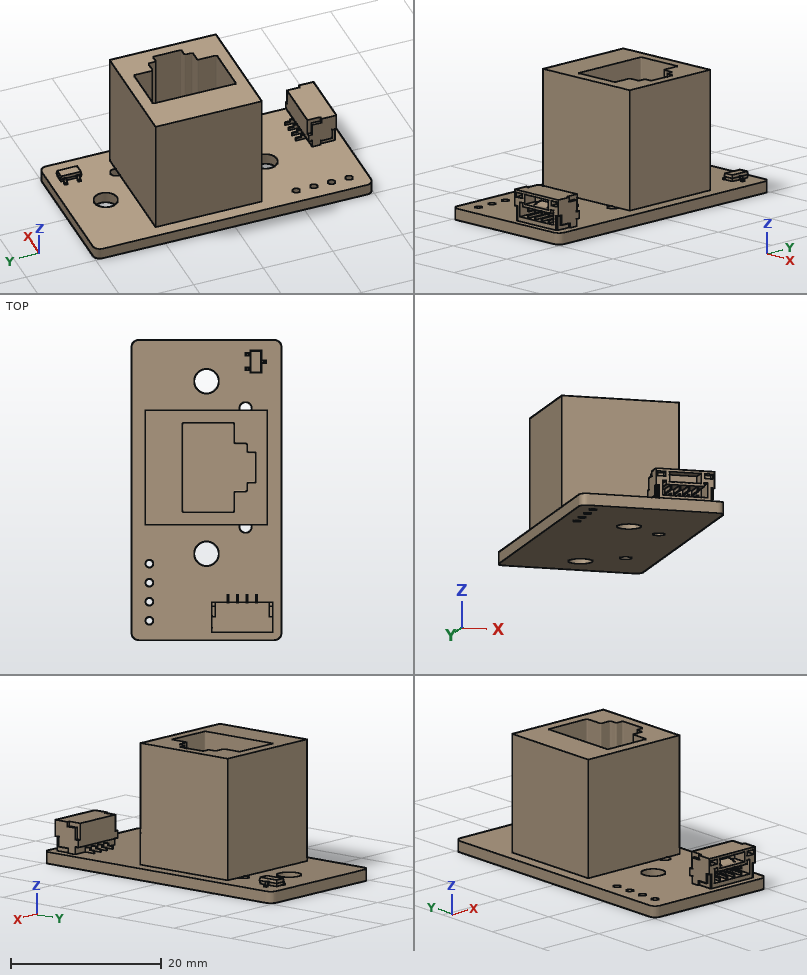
import cadquery as cq
import math

BOARD_WIDTH = 20.0
BOARD_LENGTH = 40.0
BOARD_THICKNESS = 1.6
BOARD_CORNER_RADIUS = 1.0
BOARD_CORNER_FACETS = 8
MOUNT_HOLE_DIAMETER = 3.25
MOUNT_HOLE_SPACING = 22.95
PEG_HOLE_DIAMETER = 1.6
PEG_HOLE_X = 5.2
PEG_HOLE_SPACING = 15.75
HEADER_HOLE_DIAMETER = 1.0
HEADER_HOLE_COUNT = 4
HEADER_HOLE_X = -7.6
HEADER_FIRST_Y = -17.4
HEADER_ROW_LENGTH = 7.6

JACK_LENGTH_X = 16.25
JACK_WIDTH_Y = 15.3
JACK_TOP_Z = 18.15
JACK_CENTER_X = -0.05
JACK_CENTER_Y = 3.0
CAVITY_FLOOR_THICKNESS = 1.6
CAVITY_FILLET = 0.2
CAVITY_LEFT_X = -3.2
CAVITY_STEPS = [(3.7, 5.95), (5.4, 3.2), (6.55, 2.05)]

SOCKET_WIDTH = 8.1
SOCKET_DEPTH = 4.0
SOCKET_HEIGHT = 4.25
SOCKET_CENTER_X = 4.75
SOCKET_FRONT_Y = -18.95
RELIEF_ARM = 0.65
RELIEF_LENGTH = 2.25
UPPER_RELIEF_INSET = 0.45
UPPER_RELIEF_LENGTH = 1.9
UPPER_RELIEF_BACK_ARM = 0.5
LOWER_RELIEF_INSET = 0.25
LOWER_RELIEF_HEIGHT = 2.0
FRONT_REBATE_INSET = 0.45
FRONT_REBATE_DEPTH = 0.1
TAIL_RECESS_DEPTH = 0.5
TAIL_RECESS_HEIGHT = 1.0
MOUTH_WIDTH = 6.25
MOUTH_ROOF_WIDTH = 5.25
MOUTH_FLOOR_Z = 0.65
MOUTH_ROOF_Z = 2.1
MOUTH_SIDE_ROOF_Z = 2.65
MOUTH_DEPTH = 3.0
TOP_RIM = 0.35
WINDOW_WIDTH = 4.35
WINDOW_HEIGHT = 1.35
WINDOW_DEPTH = 2.0
RAMP_WIDTH = 2.4
RAMP_HEIGHT = 0.35
RAMP_START = 0.8
POCKET_WIDTH = 1.1
POCKET_HEIGHT = 0.65
POCKET_DEPTH = 1.0
POCKET_SIDE_WALL = 0.25

CONTACT_COUNT = 4
CONTACT_ROW_LENGTH = 3.75
CONTACT_THICKNESS = 0.2
PRONG_TIP_SETBACK = 0.35
LOWER_PRONG_TOP_Z = 1.0
UPPER_PRONG_BOTTOM_Z = 1.5
TAIL_REACH = 1.0
TAIL_STEP_REACH = 0.25
TAIL_ROOT_HEIGHT = 0.65
TAIL_HEIGHT = 0.35
TAIL_CHAMFER = 0.1

TRANSISTOR_X = 6.55
TRANSISTOR_Y = 17.1
TRANSISTOR_WIDTH = 1.5
TRANSISTOR_LENGTH = 3.0
TRANSISTOR_TOP = 1.0
TRANSISTOR_WAIST = 0.55
TRANSISTOR_STANDOFF = 0.1
TRANSISTOR_DRAFT = 10.0
LEAD_SPAN = 2.8
LEAD_PITCH = 1.9
LEAD_WIDTH = 0.4
LEAD_THICKNESS = 0.15
LEAD_SHOULDER = 0.2
LEAD_FOOT = 0.2


def box(x_min, x_max, y_min, y_max, z_min, z_max):
    """Axis-aligned box between the given limits."""
    size = (x_max - x_min, y_max - y_min, z_max - z_min)
    return cq.Workplane("XY").box(*size, centered=False).translate((x_min, y_min, z_min))


def profile_along_x(points, x_min, x_max):
    """Extrude a closed (y, z) outline from x_min to x_max."""
    return cq.Workplane("YZ", origin=(x_min, 0, 0)).polyline(points).close().extrude(x_max - x_min)


def evenly_spaced(first, length, count):
    """Positions of count items spread over the given length."""
    return [first + length * i / (count - 1) for i in range(count)]


def board_outline():
    """Rectangle whose corners are rounded by short flat facets."""
    center_x = BOARD_WIDTH / 2 - BOARD_CORNER_RADIUS
    center_y = BOARD_LENGTH / 2 - BOARD_CORNER_RADIUS
    points = []
    for corner, (side_x, side_y) in enumerate([(1, 1), (-1, 1), (-1, -1), (1, -1)]):
        for facet in range(BOARD_CORNER_FACETS + 1):
            angle = math.pi / 2 * (corner + facet / BOARD_CORNER_FACETS)
            x = side_x * center_x + BOARD_CORNER_RADIUS * math.cos(angle)
            y = side_y * center_y + BOARD_CORNER_RADIUS * math.sin(angle)
            points.append((x, y))
    return points


def make_board():
    mount_points = [(0, JACK_CENTER_Y + side * MOUNT_HOLE_SPACING / 2) for side in (-1, 1)]
    peg_points = [(PEG_HOLE_X, JACK_CENTER_Y + side * PEG_HOLE_SPACING / 2) for side in (-1, 1)]
    header_ys = evenly_spaced(HEADER_FIRST_Y, HEADER_ROW_LENGTH, HEADER_HOLE_COUNT)
    header_points = [(HEADER_HOLE_X, y) for y in header_ys]

    board = cq.Workplane("XY").polyline(board_outline()).close().extrude(BOARD_THICKNESS)
    for points, diameter in (
        (mount_points, MOUNT_HOLE_DIAMETER),
        (peg_points, PEG_HOLE_DIAMETER),
        (header_points, HEADER_HOLE_DIAMETER),
    ):
        holes = cq.Workplane("XY").pushPoints(points).circle(diameter / 2).extrude(BOARD_THICKNESS)
        board = board.cut(holes)
    return board


def make_plug_cavity():
    """Stepped plug shape with rounded corners and a rounded floor edge."""
    upper_half = []
    start_x = CAVITY_LEFT_X
    for end_x, half_width in CAVITY_STEPS:
        upper_half += [(start_x, half_width), (end_x, half_width)]
        start_x = end_x
    lower_half = [(x, -y) for x, y in reversed(upper_half)]
    floor_z = BOARD_THICKNESS + CAVITY_FLOOR_THICKNESS
    return (
        cq.Workplane("XY", origin=(0, JACK_CENTER_Y, floor_z))
        .polyline(upper_half + lower_half)
        .close()
        .extrude(JACK_TOP_Z - floor_z)
        .edges("|Z")
        .fillet(CAVITY_FILLET)
        .faces("<Z")
        .edges()
        .fillet(CAVITY_FILLET)
    )


def make_jack():
    block = (
        cq.Workplane("XY", origin=(JACK_CENTER_X, JACK_CENTER_Y, BOARD_THICKNESS))
        .rect(JACK_LENGTH_X, JACK_WIDTH_Y)
        .extrude(JACK_TOP_Z - BOARD_THICKNESS)
    )
    return block.cut(make_plug_cavity())


def upper_relief_outline():
    """L-shaped (y, z) outline at the top rear corner of each side."""
    inner_y = SOCKET_DEPTH - UPPER_RELIEF_LENGTH
    arm_y = SOCKET_DEPTH - UPPER_RELIEF_BACK_ARM
    return [
        (inner_y, SOCKET_HEIGHT),
        (SOCKET_DEPTH, SOCKET_HEIGHT),
        (SOCKET_DEPTH, SOCKET_HEIGHT - RELIEF_LENGTH),
        (arm_y, SOCKET_HEIGHT - RELIEF_LENGTH),
        (arm_y, SOCKET_HEIGHT - RELIEF_ARM),
        (inner_y, SOCKET_HEIGHT - RELIEF_ARM),
    ]


def lower_relief_outline():
    """L-shaped (y, z) outline at the bottom front corner of each side."""
    return [
        (0, 0),
        (RELIEF_LENGTH, 0),
        (RELIEF_LENGTH, RELIEF_ARM),
        (RELIEF_ARM, RELIEF_ARM),
        (RELIEF_ARM, LOWER_RELIEF_HEIGHT),
        (0, LOWER_RELIEF_HEIGHT),
    ]


def front_rebate_outline():
    """Thin (y, z) strip that deepens the lower relief along the front edge."""
    return [
        (0, 0),
        (FRONT_REBATE_DEPTH, 0),
        (FRONT_REBATE_DEPTH, LOWER_RELIEF_HEIGHT),
        (0, LOWER_RELIEF_HEIGHT),
    ]


def cut_side_reliefs(body):
    half = SOCKET_WIDTH / 2
    for outline, inset in (
        (upper_relief_outline(), UPPER_RELIEF_INSET),
        (lower_relief_outline(), LOWER_RELIEF_INSET),
        (front_rebate_outline(), FRONT_REBATE_INSET),
    ):
        body = body.cut(profile_along_x(outline, -half, inset - half))
        body = body.cut(profile_along_x(outline, half - inset, half))
    return body


def cut_mouth(body):
    """Main mouth, whose roof is higher along both sides."""
    half = MOUTH_WIDTH / 2
    roof_half = MOUTH_ROOF_WIDTH / 2
    body = body.cut(box(-half, half, 0, MOUTH_DEPTH, MOUTH_FLOOR_Z, MOUTH_ROOF_Z))
    for x_min, x_max in ((-half, -roof_half), (roof_half, half)):
        body = body.cut(box(x_min, x_max, 0, MOUTH_DEPTH, MOUTH_FLOOR_Z, MOUTH_SIDE_ROOF_Z))
    return body


def cut_latch_window(body):
    """Window above the mouth, with a latch ramp rising along its floor."""
    half = WINDOW_WIDTH / 2
    window_top = SOCKET_HEIGHT - TOP_RIM
    window_floor = window_top - WINDOW_HEIGHT
    body = body.cut(box(-half, half, 0, WINDOW_DEPTH, window_floor, window_top))
    ramp_outline = [
        (RAMP_START, window_floor),
        (WINDOW_DEPTH, window_floor),
        (WINDOW_DEPTH, window_floor + RAMP_HEIGHT),
    ]
    return body.union(profile_along_x(ramp_outline, -RAMP_WIDTH / 2, RAMP_WIDTH / 2))


def cut_corner_pockets(body):
    outer = SOCKET_WIDTH / 2 - POCKET_SIDE_WALL
    inner = outer - POCKET_WIDTH
    top = SOCKET_HEIGHT - TOP_RIM
    for x_min, x_max in ((-outer, -inner), (inner, outer)):
        body = body.cut(box(x_min, x_max, 0, POCKET_DEPTH, top - POCKET_HEIGHT, top))
    return body


def make_contact(x):
    """Forked contact in the mouth, with a stepped solder tail behind."""
    x_min = x - CONTACT_THICKNESS / 2
    x_max = x + CONTACT_THICKNESS / 2
    lower_prong = box(x_min, x_max, PRONG_TIP_SETBACK, MOUTH_DEPTH, MOUTH_FLOOR_Z, LOWER_PRONG_TOP_Z)
    upper_prong = box(x_min, x_max, PRONG_TIP_SETBACK, MOUTH_DEPTH, UPPER_PRONG_BOTTOM_Z, MOUTH_ROOF_Z)

    tail_root_y = SOCKET_DEPTH - TAIL_RECESS_DEPTH
    tail_step_y = SOCKET_DEPTH + TAIL_STEP_REACH
    tail_end_y = SOCKET_DEPTH + TAIL_REACH
    tail_outline = [
        (tail_root_y, 0),
        (tail_end_y, 0),
        (tail_end_y, TAIL_HEIGHT - TAIL_CHAMFER),
        (tail_end_y - TAIL_CHAMFER, TAIL_HEIGHT),
        (tail_step_y, TAIL_HEIGHT),
        (tail_step_y, TAIL_ROOT_HEIGHT),
        (tail_root_y, TAIL_ROOT_HEIGHT),
    ]
    return [lower_prong, upper_prong, profile_along_x(tail_outline, x_min, x_max)]


def make_socket():
    half = SOCKET_WIDTH / 2
    body = box(-half, half, 0, SOCKET_DEPTH, 0, SOCKET_HEIGHT)
    body = body.cut(
        box(-half, half, SOCKET_DEPTH - TAIL_RECESS_DEPTH, SOCKET_DEPTH, 0, TAIL_RECESS_HEIGHT)
    )
    body = cut_side_reliefs(body)
    body = cut_mouth(body)
    body = cut_latch_window(body)
    body = cut_corner_pockets(body)
    for x in evenly_spaced(-CONTACT_ROW_LENGTH / 2, CONTACT_ROW_LENGTH, CONTACT_COUNT):
        for piece in make_contact(x):
            body = body.union(piece)
    return body.translate((SOCKET_CENTER_X, SOCKET_FRONT_Y, BOARD_THICKNESS))


def make_transistor_case():
    """Moulded case that tapers up and down from its waist."""
    waist = cq.Workplane("XY", origin=(0, 0, TRANSISTOR_WAIST))
    upper_height = TRANSISTOR_TOP - TRANSISTOR_WAIST
    lower_height = TRANSISTOR_WAIST - TRANSISTOR_STANDOFF
    upper = waist.rect(TRANSISTOR_WIDTH, TRANSISTOR_LENGTH).extrude(upper_height, taper=TRANSISTOR_DRAFT)
    lower = (
        waist.workplane(invert=True)
        .rect(TRANSISTOR_WIDTH, TRANSISTOR_LENGTH)
        .extrude(lower_height, taper=TRANSISTOR_DRAFT)
    )
    return upper.union(lower)


def make_lead(side, y):
    """Gull-wing lead toward +X (side = 1) or -X (side = -1)."""
    tip = LEAD_SPAN / 2
    heel = tip - LEAD_FOOT
    shoulder = TRANSISTOR_WIDTH / 2 + LEAD_SHOULDER
    lead_top = TRANSISTOR_WAIST + LEAD_THICKNESS / 2
    lead_bottom = lead_top - LEAD_THICKNESS
    outline = [
        (0, lead_top),
        (shoulder, lead_top),
        (heel, LEAD_THICKNESS),
        (tip, LEAD_THICKNESS),
        (tip, 0),
        (heel - LEAD_THICKNESS, 0),
        (shoulder - LEAD_THICKNESS, lead_bottom),
        (0, lead_bottom),
    ]
    points = [(side * x, z) for x, z in outline]
    return (
        cq.Workplane("XZ", origin=(0, y, 0))
        .polyline(points)
        .close()
        .extrude(LEAD_WIDTH / 2, both=True)
    )


def make_transistor():
    transistor = make_transistor_case()
    for side, y in ((-1, -LEAD_PITCH / 2), (-1, LEAD_PITCH / 2), (1, 0)):
        transistor = transistor.union(make_lead(side, y))
    return transistor.translate((TRANSISTOR_X, TRANSISTOR_Y, BOARD_THICKNESS))


board = make_board()
jack = make_jack()
socket = make_socket()
transistor = make_transistor()

bodies = [board, jack, socket, transistor]
result = cq.Compound.makeCompound([body.solids().val() for body in bodies])